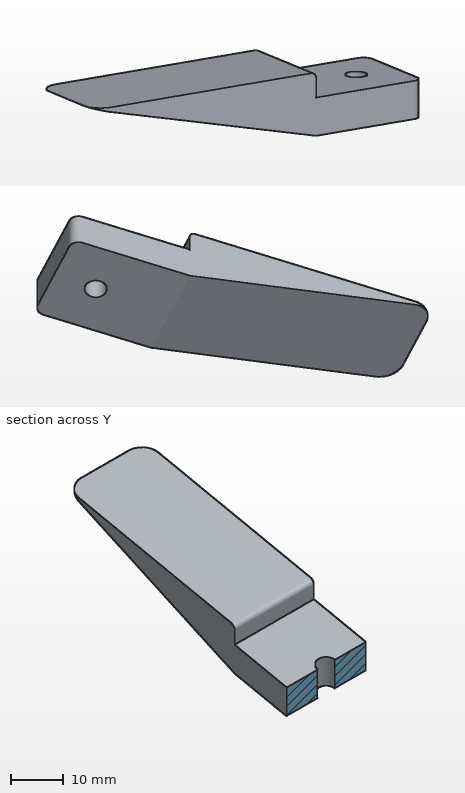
import cadquery as cq

length = 74.1
width = 19.6
height = 12.5

tab_length = 24.0
tab_thickness = 7.55
tab_corner_radius = 1.9
hole_diameter = 4.2
hole_from_back = 8.7

tip_corner_radius = 4.0
step_edge_radius = 1.1

step_y = length - tab_length


def side_profile():
    """Tab and wedge in the YZ plane, tapering to a sharp tip at Y = 0."""
    return (
        cq.Workplane("YZ")
        .moveTo(0, height)
        .lineTo(step_y, 0)
        .lineTo(length, 0)
        .lineTo(length, tab_thickness)
        .lineTo(step_y, tab_thickness)
        .lineTo(step_y, height - step_edge_radius)
        .radiusArc((step_y - step_edge_radius, height), -step_edge_radius)
        .close()
        .extrude(width / 2, both=True)
    )


def rounded_outline():
    """Full-height block with the plan outline: large radii at the tip, small ones at the tab."""
    block = cq.Workplane("XY").box(width, length, height, centered=(True, False, False))
    block = block.edges("|Z and <Y").fillet(tip_corner_radius)
    return block.edges("|Z and >Y").fillet(tab_corner_radius)


def mounting_hole():
    return (
        cq.Workplane("XY")
        .center(0, length - hole_from_back)
        .circle(hole_diameter / 2)
        .extrude(tab_thickness)
    )


result = side_profile().intersect(rounded_outline()).cut(mounting_hole())